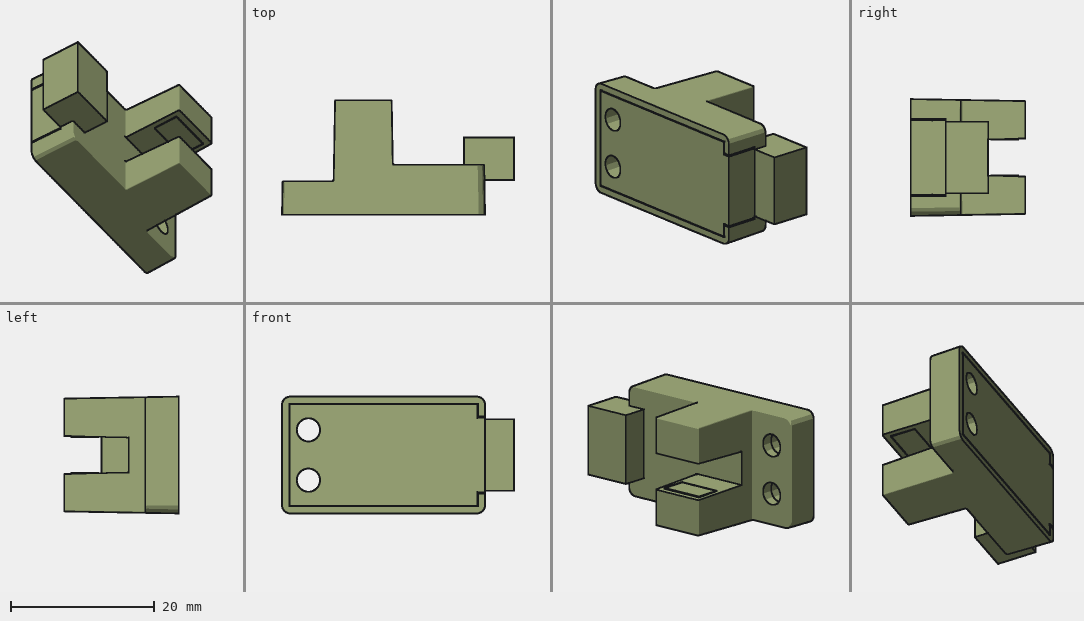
import cadquery as cq
import math


length = 28.3
height = 16.3
depth = 16.0
draft = 1.0
corner_radius = 1.2
edge_radius = 0.2
low_step = 4.7
high_step = 7.0
fork_left = 7.11
fork_right = 15.58
low_step_radius = 0.25
high_step_radius = 0.25

slot_floor_width = 4.86
slot_mouth_width = 5.29

window_side_margin = 0.75
window_end_margin = 1.0
window_height = 3.75
window_rise = 0.15

wall = 1.0
cover_gap = 0.1
cover_thickness = 3.0
notch_width = 10.76
tongue_gap = 0.2

hole_diameter = 3.2
hole_x = 3.7
hole_spacing = 7.0

connector_length = 7.0
connector_width = 10.0
connector_bottom = 4.87
connector_top = 10.8
connector_right = 32.33

slope = math.tan(math.radians(draft))


def block(x_min, x_max, y_min, y_max, z_size):
    """Box centred on Z = 0."""
    return cq.Workplane("XY").box(
        x_max - x_min, y_max - y_min, z_size, centered=(False, False, True)
    ).translate((x_min, y_min, 0))


def mounting_holes():
    return (
        cq.Workplane("XZ", origin=(hole_x, 0, 0))
        .pushPoints([(0, -hole_spacing / 2), (0, hole_spacing / 2)])
        .circle(hole_diameter / 2)
        .extrude(-depth)
    )


def drafted_block():
    """Full-depth block, narrowing towards +Y, with rounded corners."""
    base_plane = cq.Plane(origin=(length / 2, 0, 0), xDir=(1, 0, 0), normal=(0, 1, 0))
    return (
        cq.Workplane(base_plane)
        .rect(length, height)
        .extrude(depth, taper=draft)
        .edges("not(#Y)")
        .fillet(corner_radius)
    )


def fork_wall_x(foot_x, y, lean):
    """X of a fork wall at height y; lean is +1 for the left wall and -1 for the right."""
    return foot_x + lean * slope * y


def stepped_profile():
    """Low step, fork and high step, extruded along Z, with rounded inside corners."""
    profile = (
        cq.Workplane("XY")
        .moveTo(0, 0)
        .lineTo(length, 0)
        .lineTo(length, high_step)
        .lineTo(fork_wall_x(fork_right, high_step, -1), high_step)
        .lineTo(fork_wall_x(fork_right, depth, -1), depth)
        .lineTo(fork_wall_x(fork_left, depth, 1), depth)
        .lineTo(fork_wall_x(fork_left, low_step, 1), low_step)
        .lineTo(0, low_step)
        .close()
        .extrude(height / 2, both=True)
    )
    for x, y, radius in (
        (fork_wall_x(fork_right, high_step, -1), high_step, high_step_radius),
        (fork_wall_x(fork_left, low_step, 1), low_step, low_step_radius),
    ):
        corner = cq.selectors.NearestToPointSelector((x, y, 0))
        profile = profile.edges(corner).fillet(radius)
    return profile


def is_outer_edge(edge):
    """True for the edges clear of the base plane, apart from those of the inside corners."""
    box = edge.BoundingBox()
    above_base = box.ymin > low_step / 2
    along_z = box.zlen > height / 2
    below_tip = box.ymax < (high_step + depth) / 2
    beside_fork = corner_radius < box.xmin < length - corner_radius
    return above_base and not (along_z and below_tip and beside_fork)


def housing_shell():
    """Outer shape of the housing with its edges rounded, still solid."""
    shell = drafted_block().intersect(stepped_profile())
    edges = [e for e in shell.edges().vals() if is_outer_edge(e)]
    return cq.Workplane(shell.val().fillet(edge_radius, edges))


def fork_slot():
    """Slot that opens towards the fork tip, cut through along X."""
    half_floor = slot_floor_width / 2
    half_mouth = slot_mouth_width / 2
    return (
        cq.Workplane("YZ")
        .polyline([
            (high_step, -half_floor),
            (depth, -half_mouth),
            (depth, half_mouth),
            (high_step, half_floor),
        ])
        .close()
        .extrude(length)
    )


def window(side):
    """Flat pad on one arm (side +1 or -1), half sunk into the arm at its outer end."""
    x_min = fork_wall_x(fork_left, depth, 1) + window_side_margin
    x_max = fork_wall_x(fork_right, depth, -1) - window_side_margin
    y_max = depth - window_end_margin
    y_min = y_max - window_height
    slot_flare = (slot_mouth_width - slot_floor_width) / 2 / (depth - high_step)
    arm_z = slot_floor_width / 2 + slot_flare * (y_max - high_step)
    pad = block(x_min, x_max, y_min, y_max, 2 * window_rise)
    return pad.translate((0, 0, side * arm_z))


def make_housing():
    body = housing_shell().cut(fork_slot())
    for side in (-1, 1):
        body = body.union(window(side))
    recess = block(wall, length - wall, 0, cover_thickness, height - 2 * wall)
    notch = block(length - wall - cover_gap, length, 0, connector_bottom, notch_width)
    return body.cut(recess).cut(notch).cut(connector_block()).cut(mounting_holes())


def make_cover():
    """Flat plate and a tongue whose end is flush with the drafted wall of the housing."""
    plate = block(
        wall + cover_gap,
        length - wall - cover_gap,
        0,
        cover_thickness,
        height - 2 * (wall + cover_gap),
    )
    tongue = block(
        length - wall - cover_gap,
        length,
        0,
        connector_bottom,
        notch_width - 2 * tongue_gap,
    )
    flush_tongue = tongue.intersect(drafted_block())
    return plate.union(flush_tongue).cut(mounting_holes())


def connector_block():
    return block(
        connector_right - connector_length,
        connector_right,
        connector_bottom,
        connector_top,
        connector_width,
    )


housing = make_housing()
cover = make_cover()
connector = connector_block()

result = cq.Compound.makeCompound([housing.val(), cover.val(), connector.val()])